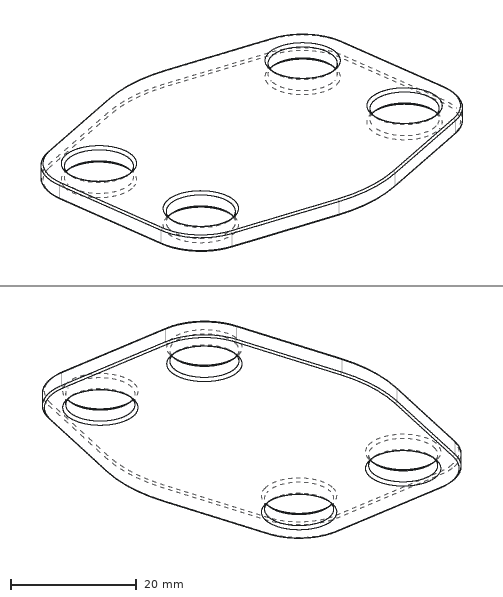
import cadquery as cq
import math

length = 66.0
width = 52.0
thickness = 3.0

hole_diameter = 11.0
hole_spacing_x = 22.25
hole_spacing_y = 47.5
hole_chamfer = 0.495
edge_chamfer = 0.3

hole_x = hole_spacing_x / 2
hole_y = hole_spacing_y / 2
corner_radius = length / 2 - hole_y
side_radius = width / 2

center_distance = math.hypot(hole_x, hole_y)
tangent_angle = math.atan2(hole_y, hole_x) - math.acos((side_radius - corner_radius) / center_distance)
mid_corner_angle = (tangent_angle + math.pi / 2) / 2


def corner_point(angle, x_sign, y_sign):
    """Point on a corner arc, mirrored into the chosen quadrant."""
    x = hole_x + corner_radius * math.cos(angle)
    y = hole_y + corner_radius * math.sin(angle)
    return (x_sign * x, y_sign * y)


def side_point(x_sign, y_sign):
    """End of a side arc, where it meets the sloping edge."""
    x = side_radius * math.cos(tangent_angle)
    y = side_radius * math.sin(tangent_angle)
    return (x_sign * x, y_sign * y)


def add_half(outline, side):
    """Continue the outline down the right half (side = 1) or up the left half (side = -1)."""
    return (
        outline.lineTo(*corner_point(math.pi / 2, side, side))
        .threePointArc(corner_point(mid_corner_angle, side, side), corner_point(tangent_angle, side, side))
        .lineTo(*side_point(side, side))
        .threePointArc((side * side_radius, 0), side_point(side, -side))
        .lineTo(*corner_point(tangent_angle, side, -side))
        .threePointArc(corner_point(mid_corner_angle, side, -side), corner_point(math.pi / 2, side, -side))
    )


outline = cq.Workplane("XY").moveTo(*corner_point(math.pi / 2, -1, 1))
outline = add_half(outline, 1)
outline = add_half(outline, -1)
plate = outline.close().extrude(thickness).faces("<Z or >Z").chamfer(edge_chamfer)

hole_radius = hole_diameter / 2
chamfer_radius = hole_radius + hole_chamfer
hole_cutter = (
    cq.Workplane("XZ")
    .polyline([
        (0, 0),
        (chamfer_radius, 0),
        (hole_radius, hole_chamfer),
        (hole_radius, thickness - hole_chamfer),
        (chamfer_radius, thickness),
        (0, thickness),
    ])
    .close()
    .revolve(360, (0, 0), (0, 1))
)
for x in (-hole_x, hole_x):
    for y in (-hole_y, hole_y):
        plate = plate.cut(hole_cutter.translate((x, y, 0)))

result = plate